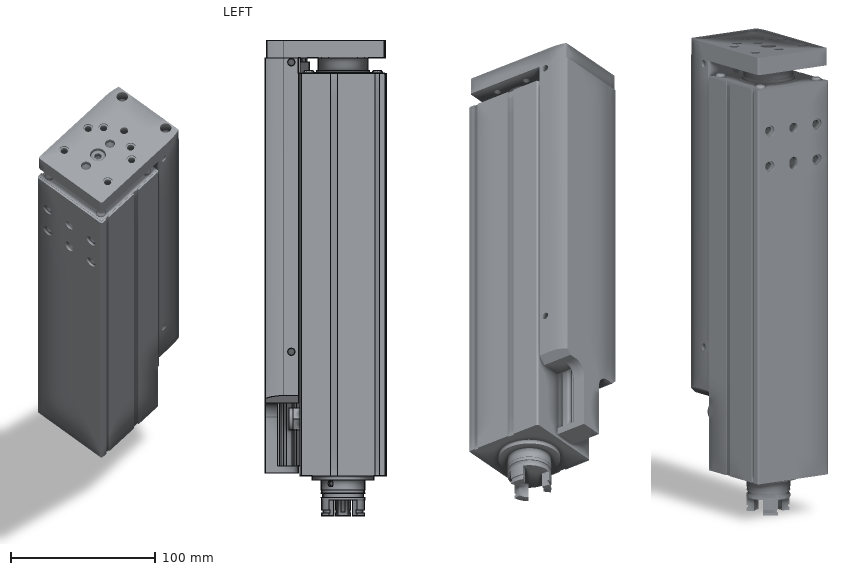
import cadquery as cq
import math

BODY_WIDTH = 60.0
HALF_BODY = BODY_WIDTH / 2
HOUSING_BOTTOM = 27.5
HOUSING_TOP = 306.5
PART_TOP = 329.3
PLATE_BOTTOM = 317.0

EDGE_CHAMFER = 1.0
GROOVE_DEPTH = 1.0
SIDE_GROOVES = ((6.3, 5.0), (-23.7, 3.0))
CAP_INSET = 1.3
CAP_HEIGHT = 0.3
COLLAR_DIAMETER = 37.0
COLLAR_HEIGHT = 2.0
COLLAR_RIM_DIAMETER = 42.5
COLLAR_RIM_HEIGHT = 0.3
CAP_SCREW_OFFSET = 23.7
CAP_SCREW_DIAMETER = 7.0
CAP_SCREW_HEIGHT = 2.0
CAP_SCREW_FILLET = 1.5
CAP_SOCKET_SIZE = 4.0
CAP_SOCKET_DEPTH = 1.3

PATTERN_HALF_X = 20.0
PATTERN_HALF_PITCH = 12.5
PIN_DIAMETER = 7.0
PIN_DEPTH = 5.0

FRONT_PATTERN_Z = 264.0
FRONT_SLOT_LENGTH = 9.0
FRONT_SINK_DIAMETER = 8.0
FRONT_SINK_DEPTH = 1.5
FRONT_BORE_DIAMETER = 5.5
FRONT_BORE_DEPTH = 5.0
FRONT_PILOT_DIAMETER = 3.0
FRONT_PILOT_DEPTH = 10.0

STOP_WIDTH = 16.5
STOP_FRONT = 23.5
STOP_TOP = 314.5
STOP_SCREW_Y = 27.3
STOP_SCREW_SIZE = 5.0
STOP_SOCKET_DIAMETER = 2.47

NUT_X = -17.5
NUT_Z = 67.2
NUT_ACROSS_FLATS = 15.0
NUT_THICKNESS = 4.5
WASHER_THICKNESS = 3.0

SLIDE_WIDTH = 58.5
HALF_SLIDE = SLIDE_WIDTH / 2
BACK = 54.0
SLIDE_FRONT = 31.0
FLANK_END = 41.0
BACK_HALF_WIDTH = 27.3
PLATE_FRONT = -29.3
PLATE_BACK = 53.0

SLIDE_BOTTOM = 83.3
END_SLOPE = 5.3
TAIL_FILLET = 9.5
TAIL_HALF_WIDTH = 8.5
TAIL_BOTTOM = 29.5
FOOT_TOP = 34.5
TAIL_PLATE_FRONT = 45.0
FLANK_HOLE_DIAMETER = 5.0
FLANK_HOLE_DEPTH = 5.0
FLANK_HOLE_Y = 36.0
FLANK_HOLE_HEIGHTS = (113.5, 314.0)

RAIL_HALF_WIDTH = 8.2
RAIL_BASE_HALF_WIDTH = 7.0
RAIL_NECK_HALF_WIDTH = 6.0
RAIL_BASE_TOP = 32.3
RAIL_NECK_TOP = 34.0
RAIL_HEAD_FRONT = 35.2
RAIL_BACK = 44.0
RAIL_GROOVE = (39.2, 43.0)
RAIL_GROOVE_DEPTH = 1.5
RAIL_CLEARANCE = 0.5

PLATE_SCREW_Y = 48.0
PLATE_PIN_DEPTH = 3.0
PLATE_SINK_DIAMETER = 8.0
PLATE_SINK_DEPTH = 8.2
PLATE_SCREW_BORE = 4.3
PLATE_THREAD_MOUTH = 7.0
PLATE_THREAD_BORE = 5.0
THREAD_MOUTH_DEPTH = 1.0
EXTRA_THREAD_X = 12.5
EXTRA_THREAD_Y = 20.0
STOP_ACCESS_DIAMETER = 5.5

ROD_DIAMETER = 34.5
ROD_SCREW_DIAMETER = 10.0
ROD_SCREW_HOLE = 11.0
ROD_SCREW_TOP = 327.3
ROD_SOCKET_SIZE = 5.5
ROD_SOCKET_DEPTH = 3.3

FLANGE_DIAMETER = 42.8
FLANGE_BOTTOM = 24.7
PLUG_RADIUS = 15.0
PLUG_BOTTOM = 11.0
SHALLOW_GROOVE = (15.8, 17.8, 14.8)
DEEP_GROOVE = (13.0, 15.5, 14.0)
FINGER_COUNT = 3
FINGER_HALF_ANGLE = 20
FINGER_OUTER_RADIUS = PLUG_RADIUS
FINGER_INNER_RADIUS = 10.0
FINGER_GROOVE = (2.0, 4.0, 14.0)
KEYWAY_WIDTH = 3.0
KEYWAY_DEPTH = 1.5
KEYWAY_BOTTOM = 2.5
KEY_HOLE_DIAMETER = 4.3
KEY_HOLE_DEPTH = 2.0
KEY_HOLE_Z = 22.5
KEY_HOLE_ANGLE = 145


def box(x_range, y_range, z_range):
    """Box between the given limits."""
    size = [high - low for low, high in (x_range, y_range, z_range)]
    return cq.Workplane("XY").box(*size, centered=False).translate((x_range[0], y_range[0], z_range[0]))


def cylinder(diameter, low, high, x=0, y=0):
    """Upright cylinder between two heights."""
    return cq.Workplane("XY", origin=(x, y, low)).circle(diameter / 2).extrude(high - low)


def hex_prism(across_corners, low, high, x=0, y=0):
    """Upright hexagonal prism with corners toward -X and +X."""
    return cq.Workplane("XY", origin=(x, y, low)).polygon(6, across_corners).extrude(high - low)


def ring_groove(lower, upper, radius):
    """Cutter that turns everything outside the radius away between two heights."""
    return cylinder(FLANGE_DIAMETER, lower, upper).cut(cylinder(2 * radius, lower, upper))


def housing_profile():
    cap_base = HOUSING_TOP - CAP_HEIGHT
    profile = box((-HALF_BODY, HALF_BODY), (-HALF_BODY, HALF_BODY), (HOUSING_BOTTOM, cap_base))
    profile = profile.edges("|Z").chamfer(EDGE_CHAMFER)
    for centre, width in SIDE_GROOVES:
        for side in (-1, 1):
            groove = cq.Workplane("XY", origin=(side * HALF_BODY, centre, HOUSING_BOTTOM))
            profile = profile.cut(groove.rect(2 * GROOVE_DEPTH, width).extrude(cap_base - HOUSING_BOTTOM))
    cap_half = HALF_BODY - CAP_INSET
    return profile.union(box((-cap_half, cap_half), (-cap_half, cap_half), (cap_base, HOUSING_TOP)))


def cut_front_holes(body):
    def front_points(points):
        plane = cq.Workplane("XZ", origin=(0, -HALF_BODY, FRONT_PATTERN_Z))
        return plane.pushPoints(points)

    corners = [(sx * PATTERN_HALF_X, sz * PATTERN_HALF_PITCH) for sx in (-1, 1) for sz in (-1, 1)]
    steps = (
        (FRONT_SINK_DIAMETER, FRONT_SINK_DEPTH),
        (FRONT_BORE_DIAMETER, FRONT_BORE_DEPTH),
        (FRONT_PILOT_DIAMETER, FRONT_PILOT_DEPTH),
    )
    for diameter, depth in steps:
        body = body.cut(front_points(corners).circle(diameter / 2).extrude(-depth))
    body = body.cut(front_points([(0, PATTERN_HALF_PITCH)]).circle(PIN_DIAMETER / 2).extrude(-PIN_DEPTH))
    slot = front_points([(0, -PATTERN_HALF_PITCH)]).slot2D(FRONT_SLOT_LENGTH, PIN_DIAMETER, 90)
    return body.cut(slot.extrude(-PIN_DEPTH))


def cap_screw(x, y):
    head_top = HOUSING_TOP + CAP_SCREW_HEIGHT
    head = cylinder(CAP_SCREW_DIAMETER, HOUSING_TOP, head_top, x, y).faces(">Z").fillet(CAP_SCREW_FILLET)
    return head.cut(hex_prism(CAP_SOCKET_SIZE, head_top - CAP_SOCKET_DEPTH, head_top, x, y))


def back_nut():
    across_corners = NUT_ACROSS_FLATS / math.cos(math.pi / 6)
    back = cq.Workplane("XZ", origin=(NUT_X, HALF_BODY, NUT_Z))
    nut = back.polygon(6, across_corners).extrude(-NUT_THICKNESS)
    washer = back.workplane(offset=-NUT_THICKNESS).circle(NUT_ACROSS_FLATS / 2).extrude(-WASHER_THICKNESS)
    return nut.union(washer)


def make_housing():
    body = cut_front_holes(housing_profile())
    collar_top = HOUSING_TOP + COLLAR_HEIGHT
    collar = cylinder(COLLAR_DIAMETER, HOUSING_TOP, collar_top)
    collar = collar.union(cylinder(COLLAR_RIM_DIAMETER, HOUSING_TOP, HOUSING_TOP + COLLAR_RIM_HEIGHT))
    body = body.union(collar.cut(cylinder(ROD_DIAMETER, HOUSING_TOP, collar_top)))
    for sx in (-1, 1):
        for sy in (-1, 1):
            body = body.union(cap_screw(sx * CAP_SCREW_OFFSET, sy * CAP_SCREW_OFFSET))
    stop_x = (-STOP_WIDTH / 2, STOP_WIDTH / 2)
    body = body.union(box(stop_x, (STOP_FRONT, HALF_BODY), (HOUSING_TOP - CAP_HEIGHT, STOP_TOP)))
    stop_screw = hex_prism(STOP_SCREW_SIZE, STOP_TOP, PLATE_BOTTOM)
    stop_screw = stop_screw.cut(cylinder(STOP_SOCKET_DIAMETER, STOP_TOP, PLATE_BOTTOM))
    body = body.union(stop_screw.rotate((0, 0, 0), (0, 0, 1), 90).translate((0, STOP_SCREW_Y, 0)))
    return body.union(back_nut())


def rounded_outline(front, back, low, high):
    """Prism with flat flanks that curve inward toward the back face."""
    inset = HALF_SLIDE - BACK_HALF_WIDTH
    run = BACK - FLANK_END
    flank_radius = (run**2 + inset**2) / (2 * inset)

    def half_width(y):
        return HALF_SLIDE - flank_radius + math.sqrt(flank_radius**2 - (y - FLANK_END) ** 2)

    middle = (FLANK_END + back) / 2
    outline = (
        cq.Workplane("XY", origin=(0, 0, low))
        .moveTo(-HALF_SLIDE, front)
        .lineTo(HALF_SLIDE, front)
        .lineTo(HALF_SLIDE, FLANK_END)
        .threePointArc((half_width(middle), middle), (half_width(back), back))
        .lineTo(-half_width(back), back)
        .threePointArc((-half_width(middle), middle), (-HALF_SLIDE, FLANK_END))
        .close()
    )
    return outline.extrude(high - low)


def slide_elevation():
    """Slide seen along Y: full width at the top, narrowing through fillets to the tail."""
    slope_bottom = SLIDE_BOTTOM - END_SLOPE
    shoulder = HALF_SLIDE - END_SLOPE
    tail = TAIL_HALF_WIDTH
    fillet_start = tail + TAIL_FILLET
    fillet_bottom = slope_bottom - TAIL_FILLET
    diagonal = TAIL_FILLET * math.sqrt(0.5)
    elevation = (
        cq.Workplane("XZ")
        .moveTo(HALF_SLIDE, PLATE_BOTTOM)
        .lineTo(HALF_SLIDE, SLIDE_BOTTOM)
        .lineTo(shoulder, slope_bottom)
        .lineTo(fillet_start, slope_bottom)
        .threePointArc((fillet_start - diagonal, fillet_bottom + diagonal), (tail, fillet_bottom))
        .lineTo(tail, TAIL_BOTTOM)
        .lineTo(-tail, TAIL_BOTTOM)
        .lineTo(-tail, fillet_bottom)
        .threePointArc((diagonal - fillet_start, fillet_bottom + diagonal), (-fillet_start, slope_bottom))
        .lineTo(-shoulder, slope_bottom)
        .lineTo(-HALF_SLIDE, SLIDE_BOTTOM)
        .lineTo(-HALF_SLIDE, PLATE_BOTTOM)
        .close()
    )
    return elevation.extrude(-BACK)


def make_slide():
    slide = rounded_outline(SLIDE_FRONT, BACK, TAIL_BOTTOM, PLATE_BOTTOM).intersect(slide_elevation())
    window_top = SLIDE_BOTTOM - END_SLOPE
    slide = slide.cut(box((-HALF_SLIDE, HALF_SLIDE), (SLIDE_FRONT, TAIL_PLATE_FRONT), (FOOT_TOP, window_top)))
    channel = RAIL_HALF_WIDTH + RAIL_CLEARANCE
    slide = slide.cut(box((-channel, channel), (SLIDE_FRONT, TAIL_PLATE_FRONT), (FOOT_TOP, PLATE_BOTTOM)))
    for side in (-1, 1):
        for height in FLANK_HOLE_HEIGHTS:
            flank = cq.Workplane("YZ", origin=(side * HALF_SLIDE, FLANK_HOLE_Y, height))
            slide = slide.cut(flank.circle(FLANK_HOLE_DIAMETER / 2).extrude(-side * FLANK_HOLE_DEPTH))
    return slide


def plate_hole(plate, diameter, x, y, depth=PART_TOP - PLATE_BOTTOM):
    return plate.cut(cylinder(diameter, PART_TOP - depth, PART_TOP, x, y))


def make_end_plate():
    plate = rounded_outline(PLATE_FRONT, PLATE_BACK, PLATE_BOTTOM, PART_TOP)
    plate = plate.edges("|Z and <Y").chamfer(EDGE_CHAMFER)
    for side in (-1, 1):
        screw_x = side * PATTERN_HALF_X
        plate = plate_hole(plate, PLATE_SINK_DIAMETER, screw_x, PLATE_SCREW_Y, PLATE_SINK_DEPTH)
        plate = plate_hole(plate, PLATE_SCREW_BORE, screw_x, PLATE_SCREW_Y)
        threads = (
            (screw_x, PATTERN_HALF_PITCH),
            (screw_x, -PATTERN_HALF_PITCH),
            (side * EXTRA_THREAD_X, EXTRA_THREAD_Y),
        )
        for x, y in threads:
            plate = plate_hole(plate, PLATE_THREAD_MOUTH, x, y, THREAD_MOUTH_DEPTH)
            plate = plate_hole(plate, PLATE_THREAD_BORE, x, y)
        plate = plate_hole(plate, PIN_DIAMETER, 0, side * PATTERN_HALF_PITCH, PLATE_PIN_DEPTH)
    plate = plate_hole(plate, STOP_ACCESS_DIAMETER, 0, STOP_SCREW_Y)
    return plate_hole(plate, ROD_SCREW_HOLE, 0, 0)


def make_rail():
    """Rail on a stepped foot, with a V groove along each flank."""
    groove_root = (RAIL_HALF_WIDTH - RAIL_GROOVE_DEPTH, sum(RAIL_GROOVE) / 2)
    right_flank = [
        (RAIL_BASE_HALF_WIDTH, HALF_BODY),
        (RAIL_BASE_HALF_WIDTH, RAIL_BASE_TOP),
        (RAIL_NECK_HALF_WIDTH, RAIL_BASE_TOP),
        (RAIL_NECK_HALF_WIDTH, RAIL_NECK_TOP),
        (RAIL_HALF_WIDTH, RAIL_HEAD_FRONT),
        (RAIL_HALF_WIDTH, RAIL_GROOVE[0]),
        groove_root,
        (RAIL_HALF_WIDTH, RAIL_GROOVE[1]),
        (RAIL_HALF_WIDTH, RAIL_BACK),
    ]
    left_flank = [(-x, y) for x, y in reversed(right_flank)]
    section = cq.Workplane("XY", origin=(0, 0, FOOT_TOP)).polyline(right_flank + left_flank).close()
    return section.extrude(HOUSING_TOP - FOOT_TOP)


def make_rod():
    rod = cylinder(ROD_DIAMETER, HOUSING_TOP, PLATE_BOTTOM)
    rod = rod.union(cylinder(ROD_SCREW_DIAMETER, PLATE_BOTTOM, ROD_SCREW_TOP))
    return rod.cut(hex_prism(ROD_SOCKET_SIZE, ROD_SCREW_TOP - ROD_SOCKET_DEPTH, ROD_SCREW_TOP))


def finger(angle):
    """Ring sector hanging below the plug, centred on the given angle."""
    def at(radius, turn):
        return (radius * math.cos(math.radians(turn)), radius * math.sin(math.radians(turn)))

    start = angle - FINGER_HALF_ANGLE
    end = angle + FINGER_HALF_ANGLE
    sector = (
        cq.Workplane("XY")
        .moveTo(*at(FINGER_INNER_RADIUS, start))
        .lineTo(*at(FINGER_OUTER_RADIUS, start))
        .threePointArc(at(FINGER_OUTER_RADIUS, angle), at(FINGER_OUTER_RADIUS, end))
        .lineTo(*at(FINGER_INNER_RADIUS, end))
        .threePointArc(at(FINGER_INNER_RADIUS, angle), at(FINGER_INNER_RADIUS, start))
        .close()
    )
    return sector.extrude(PLUG_BOTTOM)


def make_connector():
    connector = cylinder(FLANGE_DIAMETER, FLANGE_BOTTOM, HOUSING_BOTTOM)
    connector = connector.union(cylinder(2 * PLUG_RADIUS, PLUG_BOTTOM, FLANGE_BOTTOM))
    for index in range(FINGER_COUNT):
        connector = connector.union(finger(index * 360 / FINGER_COUNT))
    keyway_x = (0, FINGER_INNER_RADIUS + KEYWAY_DEPTH)
    keyway_y = (-KEYWAY_WIDTH / 2, KEYWAY_WIDTH / 2)
    connector = connector.cut(box(keyway_x, keyway_y, (KEYWAY_BOTTOM, PLUG_BOTTOM)))
    for groove in (SHALLOW_GROOVE, DEEP_GROOVE, FINGER_GROOVE):
        connector = connector.cut(ring_groove(*groove))
    key_hole = cq.Workplane("YZ", origin=(PLUG_RADIUS - KEY_HOLE_DEPTH, 0, KEY_HOLE_Z))
    key_hole = key_hole.circle(KEY_HOLE_DIAMETER / 2).extrude(PLUG_RADIUS)
    return connector.cut(key_hole.rotate((0, 0, 0), (0, 0, 1), KEY_HOLE_ANGLE))


housing = make_housing()
slide = make_slide()
end_plate = make_end_plate()
rail = make_rail()
rod = make_rod()
connector = make_connector()

result = cq.Compound.makeCompound(
    [housing.val(), slide.val(), end_plate.val(), rail.val(), rod.val(), connector.val()]
)